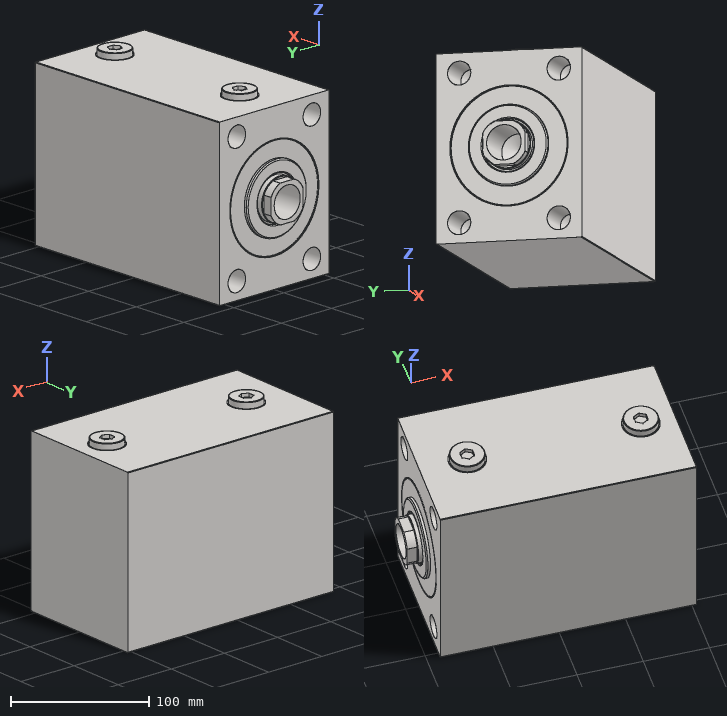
import cadquery as cq
import math


block_length = 193.5
block_width = 110.0
block_height = 140.0
edge_chamfer = 0.5
top_z = block_height / 2

mount_hole_diameter = 17.5
mount_hole_depth = 35.0
mount_spacing_y = 75.0
mount_spacing_z = 110.0
drill_point_angle = 118.0

gland_diameter = 87.5
gland_depth = 30.0
gland_seat_chamfer = 0.8
boss_diameter = 60.0
boss_height = 3.0
boss_chamfer = 1.0
wiper_recess_diameter = 39.0
wiper_recess_depth = 2.0
wiper_recess_chamfer = 0.75

rod_diameter = 36.0
rod_chamfer = 0.5
rod_collar_height = 6.0
rod_insertion = 50.0
rod_end_diameter = 35.0
wrench_flats = 32.0
rod_end_reach = 13.5
rod_thread_diameter = 26.0
rod_thread_depth = 40.0

plug_positions_x = (36.5, 167.5)
plug_head_diameter = 26.0
plug_head_reach = 4.9
plug_chamfer = 0.5
plug_shank_diameter = 21.0
plug_shank_length = 14.0
plug_socket_flats = 9.5
plug_socket_depth = 3.0
spotface_diameter = 28.0
spotface_depth = 0.5


def x_cylinder(diameter, x_start, x_end):
    """Cylinder on the X axis between two X stations."""
    return cq.Workplane("YZ", origin=(x_start, 0, 0)).circle(diameter / 2).extrude(x_end - x_start)


def z_cylinder(diameter, x, z_start, z_end):
    """Upright cylinder at the given X, centred on the width of the housing."""
    return cq.Workplane("XY", origin=(x, 0, z_start)).circle(diameter / 2).extrude(z_end - z_start)


def drilled_hole(diameter, depth, x_start, y=0.0, z=0.0):
    """Cutter for a blind hole along +X with a conical drill point."""
    radius = diameter / 2
    point_length = radius / math.tan(math.radians(drill_point_angle / 2))
    profile = (
        cq.Workplane("XY")
        .polyline([(0, 0), (0, radius), (depth, radius), (depth + point_length, 0)])
        .close()
    )
    return profile.revolve(360, (0, 0, 0), (1, 0, 0)).translate((x_start, y, z))


def chamfered_mouth(bore_diameter, chamfer, x_start):
    """Cone cutter for a 45 degree chamfer on the mouth of a bore that opens toward -X."""
    bore_radius = bore_diameter / 2
    mouth = cq.Workplane("YZ", origin=(x_start, 0, 0)).circle(bore_radius + chamfer)
    return mouth.workplane(offset=chamfer).circle(bore_radius).loft(ruled=True)


def make_housing():
    housing = cq.Workplane("XY").box(block_length, block_width, block_height, centered=(False, True, True))
    housing = housing.edges("|X").chamfer(edge_chamfer)

    housing = housing.cut(x_cylinder(gland_diameter, 0, gland_depth))
    housing = housing.cut(chamfered_mouth(gland_diameter, gland_seat_chamfer, 0))
    housing = housing.cut(x_cylinder(rod_diameter, 0, rod_insertion))

    for side_y in (-1, 1):
        for side_z in (-1, 1):
            hole_y = side_y * mount_spacing_y / 2
            hole_z = side_z * mount_spacing_z / 2
            housing = housing.cut(drilled_hole(mount_hole_diameter, mount_hole_depth, 0, hole_y, hole_z))

    seat_z = top_z - spotface_depth
    for x in plug_positions_x:
        housing = housing.cut(z_cylinder(spotface_diameter, x, seat_z, top_z))
        housing = housing.cut(z_cylinder(plug_shank_diameter, x, seat_z - plug_shank_length, seat_z))
    return housing


def make_gland():
    body = x_cylinder(gland_diameter, 0, gland_depth)
    boss = x_cylinder(boss_diameter, -boss_height, 0).faces("<X").chamfer(boss_chamfer)
    gland = body.union(boss)
    gland = gland.cut(x_cylinder(rod_diameter, -boss_height, gland_depth))
    recess = x_cylinder(wiper_recess_diameter, -boss_height, wiper_recess_depth - boss_height)
    gland = gland.cut(recess)
    return gland.cut(chamfered_mouth(wiper_recess_diameter, wiper_recess_chamfer, -boss_height))


def make_rod():
    shaft = x_cylinder(rod_diameter, -rod_collar_height, rod_insertion).faces("<X").chamfer(rod_chamfer)

    end_length = rod_end_reach - rod_collar_height
    square = cq.Workplane("YZ", origin=(-rod_end_reach, 0, 0)).rect(wrench_flats, wrench_flats)
    rod_end = x_cylinder(rod_end_diameter, -rod_end_reach, -rod_collar_height)
    rod_end = rod_end.intersect(square.extrude(end_length))

    rod = shaft.union(rod_end)
    return rod.cut(drilled_hole(rod_thread_diameter, rod_thread_depth, -rod_end_reach))


def make_plug(x):
    seat_z = top_z - spotface_depth
    head_top_z = top_z + plug_head_reach
    head = z_cylinder(plug_head_diameter, x, seat_z, head_top_z).faces(">Z").chamfer(plug_chamfer)
    plug = head.union(z_cylinder(plug_shank_diameter, x, seat_z - plug_shank_length, seat_z))

    socket = (
        cq.Workplane("XY", origin=(x, 0, head_top_z - plug_socket_depth))
        .polygon(6, plug_socket_flats, circumscribed=True)
        .extrude(plug_socket_depth)
    )
    return plug.cut(socket)


housing = make_housing()
gland = make_gland()
rod = make_rod()
plugs = [make_plug(x) for x in plug_positions_x]

result = cq.Compound.makeCompound([housing.val(), gland.val(), rod.val(), *[plug.val() for plug in plugs]])